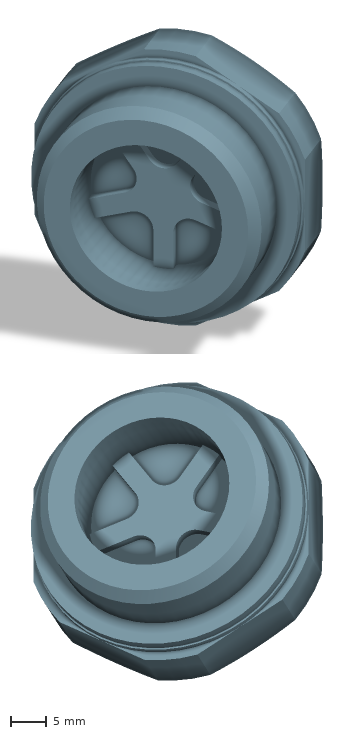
import cadquery as cq
import math

COLLAR_START = 8.5
COLLAR_STEP = 10.05
HEX_START = 10.95
HEX_END = 19.57
TOTAL_LENGTH = 22.0

BODY_DIAMETER = 33.25
BODY_CHAMFER = 1.5
COLLAR_DIAMETER = 39.5
ACROSS_FLATS = 40.0
CORNER_DIAMETER = 42.45
HEX_BEVEL_LENGTH = 1.25
HEX_BEVEL_ANGLE = 60.0
CAP_DIAMETER = 35.0
CAP_FILLET = 2.38

BORE_DIAMETER = 22.5
BORE_DEPTH = 9.5
STAR_FACE_DEPTH = 8.0
SPOKE_COUNT = 5
SPOKE_WIDTH = 2.97
SPOKE_FILLET = 2.5


def disc(diameter, start, end):
    """Cylinder on the Y axis between two Y positions."""
    plane = cq.Workplane("XZ", origin=(0, start, 0))
    return plane.circle(diameter / 2).extrude(start - end)


def threaded_body():
    return disc(BODY_DIAMETER, 0, HEX_START).faces("<Y").chamfer(BODY_CHAMFER)


def hexagon():
    """Hexagon with flats facing +X and -X, rounded corners and a beveled rear rim."""
    across_corners = ACROSS_FLATS / math.cos(math.pi / 6)
    prism = (
        cq.Workplane("XZ", origin=(0, HEX_START, 0))
        .transformed(rotate=(0, 0, 30))
        .polygon(6, across_corners)
        .extrude(HEX_START - HEX_END)
    )
    corner_radius = CORNER_DIAMETER / 2
    rim_radius = corner_radius - HEX_BEVEL_LENGTH * math.tan(math.radians(HEX_BEVEL_ANGLE))
    turned_blank = (
        cq.Workplane("XY")
        .moveTo(0, HEX_START)
        .lineTo(corner_radius, HEX_START)
        .lineTo(corner_radius, HEX_END - HEX_BEVEL_LENGTH)
        .lineTo(rim_radius, HEX_END)
        .lineTo(0, HEX_END)
        .close()
        .revolve(360, (0, 0, 0), (0, 1, 0))
    )
    return prism.intersect(turned_blank)


def cap():
    return disc(CAP_DIAMETER, HEX_START, TOTAL_LENGTH).faces(">Y").edges().fillet(CAP_FILLET)


def star():
    """Spokes joined by rounded inner corners, one spoke pointing to -Z."""
    height = BORE_DEPTH - STAR_FACE_DEPTH
    spoke_length = BORE_DIAMETER
    spoke = (
        cq.Workplane("XZ", origin=(0, BORE_DEPTH, 0))
        .center(0, -spoke_length / 2)
        .rect(SPOKE_WIDTH, spoke_length)
        .extrude(height)
    )
    spokes = spoke
    for index in range(1, SPOKE_COUNT):
        angle = index * 360 / SPOKE_COUNT
        spokes = spokes.union(spoke.rotate((0, 0, 0), (0, 1, 0), angle))
    inner_corners = cq.selectors.BoxSelector(
        (-SPOKE_WIDTH, 0, -SPOKE_WIDTH), (SPOKE_WIDTH, BORE_DEPTH, SPOKE_WIDTH)
    )
    spokes = spokes.edges("|Y").edges(inner_corners).fillet(SPOKE_FILLET)
    return spokes.intersect(disc(BORE_DIAMETER, STAR_FACE_DEPTH, BORE_DEPTH))


result = (
    threaded_body()
    .union(disc(COLLAR_DIAMETER, COLLAR_START, COLLAR_STEP))
    .union(disc(ACROSS_FLATS, COLLAR_STEP, HEX_START))
    .union(hexagon())
    .union(cap())
    .cut(disc(BORE_DIAMETER, 0, BORE_DEPTH).cut(star()))
)